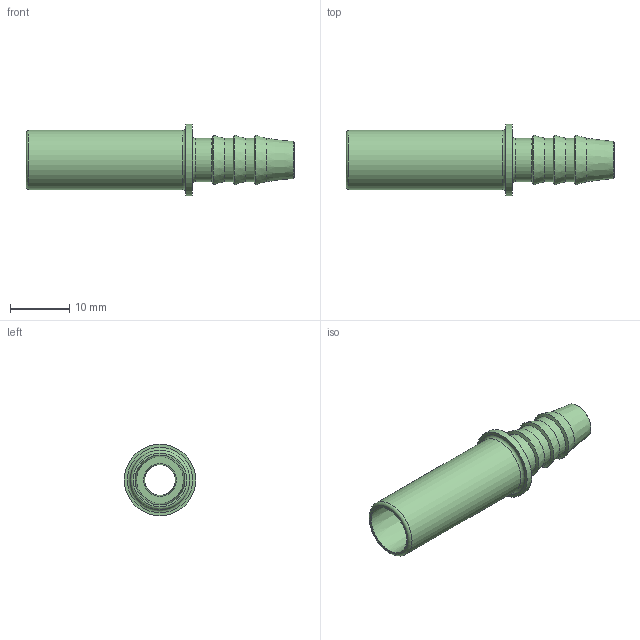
import cadquery as cq
import math

total_length = 45.1
tube_start = -total_length / 2
tip_end = total_length / 2

tube_radius = 5.0
tube_length = 26.9
flange_radius = 6.0
flange_thickness = 1.1
stem_radius = 3.65
edge_round = 0.5
flange_start = tube_start + tube_length
flange_end = flange_start + flange_thickness

barb_count = 3
barb_radius = 4.2
barb_pitch = 3.55
barb_back_length = 0.2
barb_cone_length = 1.9
first_barb_offset = 3.3
last_cone_end = (
    flange_end + first_barb_offset + (barb_count - 1) * barb_pitch + barb_back_length + barb_cone_length
)

tip_radius = 3.1
tip_chamfer = 0.15

tube_bore_mouth_radius = 4.2
tube_bore_end_radius = 3.95
stem_bore_start_radius = 2.75
stem_bore_end_radius = 2.6
bore_step = flange_start


def quarter_arc(profile, center_x, center_r, radius, middle_angle, end):
    """Add a quarter circle through its middle angle (degrees) to the given end point."""
    angle = math.radians(middle_angle)
    middle = (center_x + radius * math.cos(angle), center_r + radius * math.sin(angle))
    return profile.threePointArc(middle, end)


def add_tube_and_flange(profile):
    """Rounded tube mouth, tube wall and the flange with a fillet on each side."""
    profile = profile.lineTo(tube_start, tube_radius - edge_round)
    profile = quarter_arc(
        profile, tube_start + edge_round, tube_radius - edge_round, edge_round, 135,
        (tube_start + edge_round, tube_radius),
    )
    profile = profile.lineTo(flange_start - edge_round, tube_radius)
    profile = quarter_arc(
        profile, flange_start - edge_round, tube_radius + edge_round, edge_round, -45,
        (flange_start, tube_radius + edge_round),
    )
    profile = profile.lineTo(flange_start, flange_radius)
    profile = profile.lineTo(flange_end, flange_radius)
    profile = profile.lineTo(flange_end, stem_radius + edge_round)
    return quarter_arc(
        profile, flange_end + edge_round, stem_radius + edge_round, edge_round, -135,
        (flange_end + edge_round, stem_radius),
    )


def add_barbs(profile):
    """Equally spaced barbs whose cones fall back to the stem radius."""
    for index in range(barb_count):
        back_x = flange_end + first_barb_offset + index * barb_pitch
        crest_x = back_x + barb_back_length
        profile = profile.lineTo(back_x, stem_radius)
        profile = profile.lineTo(crest_x, barb_radius)
        profile = profile.lineTo(crest_x + barb_cone_length, stem_radius)
    return profile


def add_tip(profile):
    """Tapered lead-in from the last barb, with a chamfered end."""
    radius_per_length = (stem_radius - tip_radius) / (tip_end - last_cone_end)
    chamfer_start_radius = tip_radius + radius_per_length * tip_chamfer
    profile = profile.lineTo(tip_end - tip_chamfer, chamfer_start_radius)
    return profile.lineTo(tip_end, tip_radius - tip_chamfer)


def add_bore(profile):
    """Return along the inside, from the tip through the step to the tube mouth."""
    profile = profile.lineTo(tip_end, stem_bore_end_radius)
    profile = profile.lineTo(bore_step, stem_bore_start_radius)
    return profile.lineTo(bore_step, tube_bore_end_radius)


section = cq.Workplane("XY").moveTo(tube_start, tube_bore_mouth_radius)
section = add_tube_and_flange(section)
section = add_barbs(section)
section = add_tip(section)
section = add_bore(section).close()

result = section.revolve(360, (0, 0, 0), (1, 0, 0))